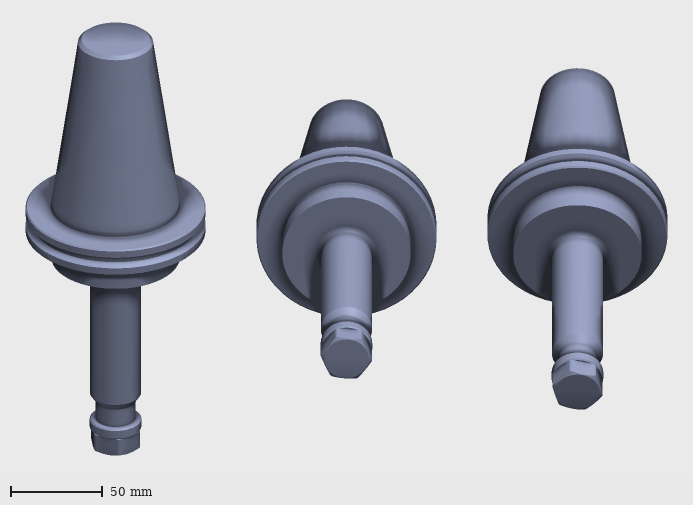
import cadquery as cq

total_height = 254.0

taper_ratio = 7 / 24
gauge_height = 152.5
gauge_radius = 35.0
tip_chamfer = 1.8
tip_radius = gauge_radius - (total_height - gauge_height) * taper_ratio / 2

flange_radius = 49.15
flange_top = 149.4
flange_thickness = 16.0
flange_bottom = flange_top - flange_thickness
flange_chamfer = 0.8
flange_fillet = 0.8
groove_floor_radius = 45.6
groove_floor_width = 2.8
groove_mouth_width = 6.5
groove_height = (flange_top + flange_bottom) / 2

hub_bottom = 117.3
extension_radius = 14.0
extension_fillet = 3.0
extension_bottom = 32.8

neck_radius = 11.0
neck_top = 28.2

nut_height = 17.3
nut_radius = 14.1
hex_height = 11.0
hex_across_flats = 25.0
collar_chamfer = 0.8
nut_bottom_chamfer_width = 2.0
nut_bottom_chamfer_height = 1.15


def make_holder():
    """Revolve the taper, flange, hub, extension and neck as one profile."""
    floor_half = groove_floor_width / 2
    mouth_half = groove_mouth_width / 2
    profile = (
        cq.Workplane("XZ")
        .moveTo(0, total_height)
        .lineTo(tip_radius - tip_chamfer, total_height)
        .lineTo(tip_radius + tip_chamfer * taper_ratio / 2, total_height - tip_chamfer)
        .lineTo(gauge_radius, gauge_height)
        .lineTo(gauge_radius, flange_top + flange_fillet)
        .radiusArc((gauge_radius + flange_fillet, flange_top), -flange_fillet)
        .lineTo(flange_radius - flange_chamfer, flange_top)
        .lineTo(flange_radius, flange_top - flange_chamfer)
        .lineTo(flange_radius, groove_height + mouth_half)
        .lineTo(groove_floor_radius, groove_height + floor_half)
        .lineTo(groove_floor_radius, groove_height - floor_half)
        .lineTo(flange_radius, groove_height - mouth_half)
        .lineTo(flange_radius, flange_bottom + flange_chamfer)
        .lineTo(flange_radius - flange_chamfer, flange_bottom)
        .lineTo(gauge_radius + flange_fillet, flange_bottom)
        .radiusArc((gauge_radius, flange_bottom - flange_fillet), -flange_fillet)
        .lineTo(gauge_radius, hub_bottom)
        .lineTo(extension_radius + extension_fillet, hub_bottom)
        .radiusArc((extension_radius, hub_bottom - extension_fillet), -extension_fillet)
        .lineTo(extension_radius, extension_bottom)
        .lineTo(neck_radius, neck_top)
        .lineTo(neck_radius, nut_height)
        .lineTo(0, nut_height)
        .close()
    )
    return profile.revolve(360, (0, 0), (0, 1))


def make_nut():
    """Round nut body whose lower part is trimmed to a hexagon with corners on the Y axis."""
    body = (
        cq.Workplane("XZ")
        .lineTo(nut_radius - nut_bottom_chamfer_width, 0)
        .lineTo(nut_radius, nut_bottom_chamfer_height)
        .lineTo(nut_radius, nut_height - collar_chamfer)
        .lineTo(nut_radius - collar_chamfer, nut_height)
        .lineTo(0, nut_height)
        .close()
        .revolve(360, (0, 0), (0, 1))
    )
    hexagon = (
        cq.Workplane("XY")
        .polygon(6, hex_across_flats, circumscribed=True)
        .extrude(hex_height)
    )
    collar_envelope = (
        cq.Workplane("XY", origin=(0, 0, hex_height))
        .circle(nut_radius)
        .extrude(nut_height - hex_height)
        .faces("<Z")
        .chamfer(collar_chamfer)
    )
    return body.intersect(hexagon.union(collar_envelope))


result = make_holder().union(make_nut())